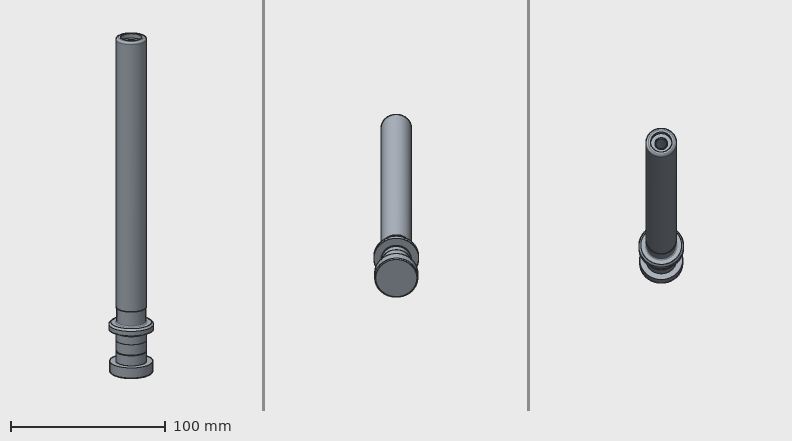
import cadquery as cq
import math

total_height = 229.0
pillar_bottom = 14.5
press_band_top = 22.0
lower_neck_bottom = 27.5
collar_bottom = 29.5
collar_top = 34.1
shaft_bottom = 44.7
foot_flange_top = 7.5

shaft_radius = 20.0 / 2
neck_radius = 19.0 / 2
collar_radius = 29.0 / 2
foot_flange_radius = 28.0 / 2
press_band_relief = 0.05

shaft_top_round = 1.5
shaft_end_chamfer = shaft_radius - neck_radius
collar_chamfer = 1.4
collar_root_fillet = 0.7
joint_chamfer = 0.5
foot_chamfer = 0.7

recess_radius = 6.9
recess_depth = 3.0
bore_radius = 3.5
bore_chamfer = 0.7
bore_depth = 18.3
drill_point_angle = 118.0


def make_centre_hole():
    """Flat recess, chamfered straight bore and conical drill point, as one cutter."""
    floor_z = total_height - recess_depth
    bore_end_z = floor_z - bore_depth
    point_length = bore_radius / math.tan(math.radians(drill_point_angle / 2))
    return (
        cq.Workplane("XZ")
        .moveTo(0, total_height)
        .lineTo(recess_radius, total_height)
        .lineTo(recess_radius, floor_z)
        .lineTo(bore_radius + bore_chamfer, floor_z)
        .lineTo(bore_radius, floor_z - bore_chamfer)
        .lineTo(bore_radius, bore_end_z)
        .lineTo(0, bore_end_z - point_length)
        .close()
        .revolve(360, (0, 0), (0, 1))
    )


def make_pillar():
    """Turned guide pillar with a collar between two necks."""
    band_radius = shaft_radius - press_band_relief
    round_offset = shaft_top_round * math.sqrt(0.5)
    round_middle = (
        shaft_radius - shaft_top_round + round_offset,
        total_height - shaft_top_round + round_offset,
    )
    blank = (
        cq.Workplane("XZ")
        .moveTo(0, pillar_bottom)
        .lineTo(band_radius - joint_chamfer, pillar_bottom)
        .lineTo(band_radius, pillar_bottom + joint_chamfer)
        .lineTo(band_radius, press_band_top)
        .lineTo(shaft_radius, press_band_top)
        .lineTo(shaft_radius, lower_neck_bottom)
        .lineTo(neck_radius, lower_neck_bottom + shaft_end_chamfer)
        .lineTo(neck_radius, collar_bottom)
        .lineTo(collar_radius, collar_bottom)
        .lineTo(collar_radius, collar_top - collar_chamfer)
        .lineTo(collar_radius - collar_chamfer, collar_top)
        .lineTo(neck_radius + collar_root_fillet, collar_top)
        .radiusArc((neck_radius, collar_top + collar_root_fillet), collar_root_fillet)
        .lineTo(neck_radius, shaft_bottom - shaft_end_chamfer)
        .lineTo(shaft_radius, shaft_bottom)
        .lineTo(shaft_radius, total_height - shaft_top_round)
        .threePointArc(round_middle, (shaft_radius - shaft_top_round, total_height))
        .lineTo(0, total_height)
        .close()
        .revolve(360, (0, 0), (0, 1))
    )
    return blank.cut(make_centre_hole())


def make_foot():
    """Flanged foot with a spigot that meets the lower end of the pillar."""
    flange = (
        cq.Workplane("XY")
        .circle(foot_flange_radius)
        .extrude(foot_flange_top)
        .faces("<Z")
        .chamfer(foot_chamfer)
    )
    spigot = (
        cq.Workplane("XY")
        .workplane(offset=foot_flange_top)
        .circle(shaft_radius)
        .extrude(pillar_bottom - foot_flange_top)
    )
    return flange.union(spigot)


pillar = make_pillar()
foot = make_foot()

result = cq.Compound.makeCompound([pillar.val(), foot.val()])